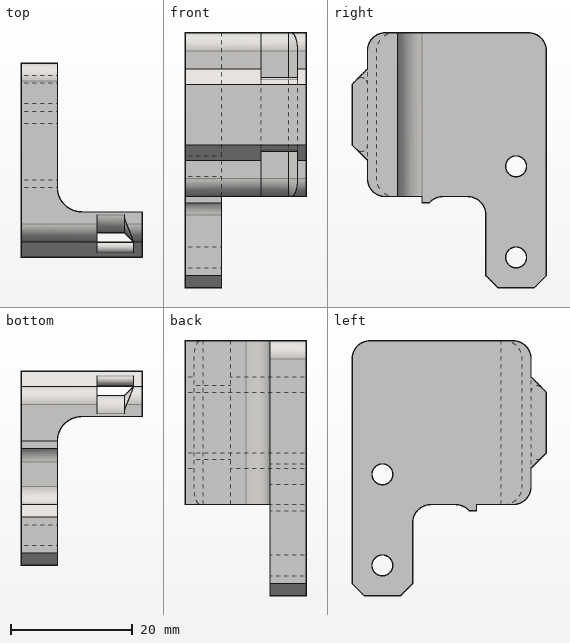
import cadquery as cq
import math

length_x = 20.0
depth_y = 32.0
height_z = 42.0

plate_thickness = 6.0
wall_back_y = 7.5
inside_corner_radius = 4.0
body_bottom_z = 15.0
edge_radius = 3.0
body_mid_z = (body_bottom_z + height_z) / 2

pad_height = 2.5
pad_flat_width = 10.0

leg_width = 10.0
leg_chamfer = 2.0
leg_fillet = 3.0
hole_diameter = 3.4
lower_hole_z = 5.0
hole_spacing = 15.0

stop_front_y = 11.5
stop_height = 1.0
stop_flat = 1.2
stop_fillet = 3.0

channel_start_x = 12.5
channel_width = 6.0
channel_depth = 1.5
pad_lip_radius = 1.0


def box(x0, x1, y0, y1, z0, z1):
    return cq.Workplane("XY").box(x1 - x0, y1 - y0, z1 - z0, centered=False).translate((x0, y0, z0))


def make_body():
    block = box(0, length_x, pad_height, depth_y, body_bottom_z, height_z)
    block = block.edges("|X and <Y").fillet(edge_radius)
    block = block.edges("|X and >Y and >Z").fillet(edge_radius)
    clearance = box(plate_thickness, 2 * length_x, wall_back_y, 2 * depth_y, 0, 2 * height_z)
    clearance = clearance.edges("|Z and <X and <Y").fillet(inside_corner_radius)
    return block.cut(clearance)


def make_pad():
    half_flat = pad_flat_width / 2
    half_base = half_flat + pad_height
    return (
        cq.Workplane("YZ")
        .moveTo(0, body_mid_z - half_flat)
        .lineTo(pad_height, body_mid_z - half_base)
        .lineTo(wall_back_y, body_mid_z - half_base)
        .lineTo(wall_back_y, body_mid_z + half_base)
        .lineTo(pad_height, body_mid_z + half_base)
        .lineTo(0, body_mid_z + half_flat)
        .close()
        .extrude(length_x)
    )


def make_leg():
    front_y = depth_y - leg_width
    arc_middle = leg_fillet * (1 - math.sqrt(0.5))
    return (
        cq.Workplane("YZ")
        .moveTo(front_y + leg_chamfer, 0)
        .lineTo(depth_y - leg_chamfer, 0)
        .lineTo(depth_y, leg_chamfer)
        .lineTo(depth_y, body_mid_z)
        .lineTo(front_y - leg_fillet, body_mid_z)
        .lineTo(front_y - leg_fillet, body_bottom_z)
        .threePointArc(
            (front_y - arc_middle, body_bottom_z - arc_middle),
            (front_y, body_bottom_z - leg_fillet),
        )
        .lineTo(front_y, leg_chamfer)
        .close()
        .extrude(plate_thickness)
    )


def make_stop():
    stop_back_y = stop_front_y + stop_flat
    stop_bottom_z = body_bottom_z - stop_height
    end_angle = math.acos(1 - stop_height / stop_fillet)
    tangent_y = stop_back_y + stop_fillet * math.sin(end_angle)
    arc_middle = (
        tangent_y - stop_fillet * math.sin(end_angle / 2),
        body_bottom_z - stop_fillet * (1 - math.cos(end_angle / 2)),
    )
    return (
        cq.Workplane("YZ")
        .moveTo(stop_front_y, body_mid_z)
        .lineTo(stop_front_y, stop_bottom_z)
        .lineTo(stop_back_y, stop_bottom_z)
        .threePointArc(arc_middle, (tangent_y, body_bottom_z))
        .lineTo(tangent_y, body_mid_z)
        .close()
        .extrude(plate_thickness)
    )


def make_channel():
    end_x = channel_start_x + channel_width
    floor_y = pad_height + channel_depth
    flare_x = end_x - channel_depth
    channel = box(channel_start_x, end_x, 0, wall_back_y, body_bottom_z, height_z)

    core = box(channel_start_x, flare_x, floor_y, depth_y, body_bottom_z, height_z)
    core = core.edges("|X and <Y").fillet(edge_radius)
    flare = core.faces(">X").wires().toPending().workplane().extrude(channel_depth, taper=-45, combine=False)

    lip = make_pad().intersect(box(channel_start_x, end_x, 0, pad_height, 0, height_z))
    lip = lip.edges("|X and >Y").fillet(pad_lip_radius)
    return channel.cut(core).cut(flare).cut(lip)


def make_holes():
    return (
        cq.Workplane("YZ")
        .pushPoints([(depth_y - leg_width / 2, lower_hole_z + i * hole_spacing) for i in range(2)])
        .circle(hole_diameter / 2)
        .extrude(plate_thickness)
    )


result = make_body().union(make_pad()).union(make_leg()).union(make_stop())
result = result.cut(make_channel()).cut(make_holes())